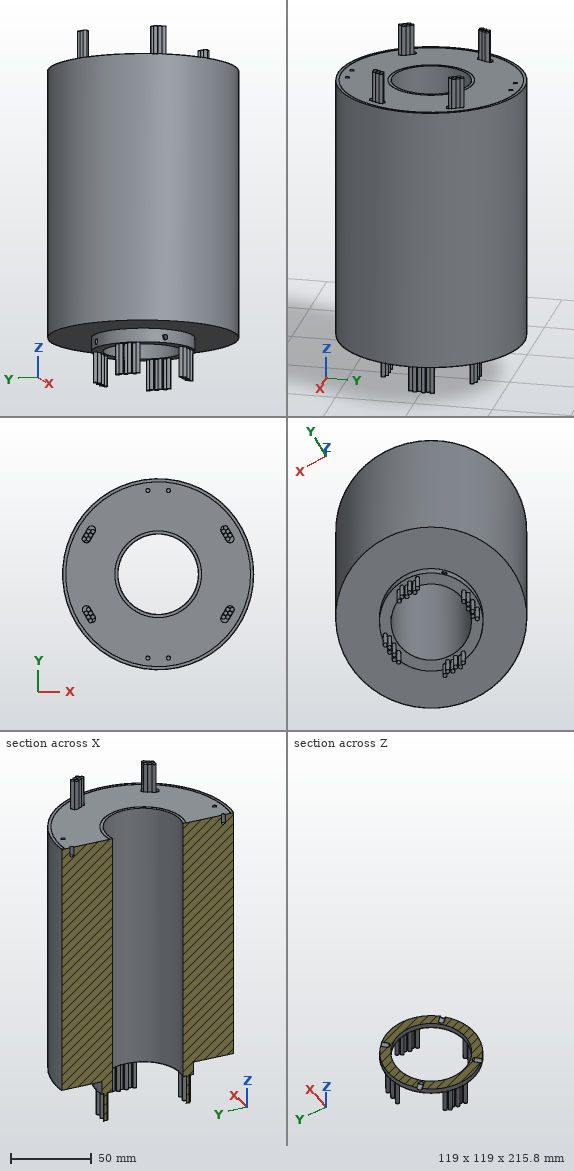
import cadquery as cq
import math

body_diameter = 119.0
body_length = 168.9
sleeve_thickness = 2.0
bore_diameter = 50.0
core_recess = 0.1

collar_diameter = 64.5
collar_height = 8.6
collar_hole_diameter = 3.3
collar_hole_height = 3.6
collar_hole_depth = 5.0
collar_hole_angles = (45, 135, 225, 315)

face_hole_diameter = 2.5
face_hole_depth = 6.0
face_hole_radius = 52.5
face_hole_half_angle = 7.0
drill_point_angle = 118.0

wire_length = 19.15
wire_diameter = 2.6

slot_angles = (30, 150, 210, 330)
slot_radius = 49.7
slot_length = 11.4
slot_width = 5.0
slot_depth = 2.0
wires_per_row = 3
upper_wire_pitch = 2.7

lower_row_angles = (0, 90, 180, 270)
lower_row_radius = 28.3
lower_row_count = 6
lower_wire_pitch = 2.8
lower_zigzag_width = 1.5

body_radius = body_diameter / 2
bore_radius = bore_diameter / 2
collar_radius = collar_diameter / 2
wire_radius = wire_diameter / 2
core_top = body_length - core_recess


def cylinder(radius, bottom, height, x=0.0, y=0.0):
    """Upright cylinder standing on the height `bottom`."""
    return cq.Workplane("XY", origin=(x, y, bottom)).circle(radius).extrude(height)


def drilled_hole(diameter, depth):
    """Cutter for a blind hole along -Z from the origin, ending in a drill point."""
    radius = diameter / 2
    tip_height = radius / math.tan(math.radians(drill_point_angle / 2))
    profile = [(0, 0), (radius, 0), (radius, -depth), (0, -depth - tip_height)]
    return cq.Workplane("XZ").polyline(profile).close().revolve(360, (0, 0), (0, 1))


def turn(shape, angle):
    """Turn a shape about the Z axis."""
    return shape.rotate((0, 0, 0), (0, 0, 1), angle)


def make_body():
    body = cylinder(body_radius, 0, body_length)
    body = body.union(cylinder(collar_radius, -collar_height, collar_height))
    core_face = (
        cq.Workplane("XY", origin=(0, 0, core_top))
        .circle(body_radius - sleeve_thickness)
        .circle(bore_radius + sleeve_thickness)
        .extrude(core_recess)
    )
    body = body.cut(core_face)
    return body.cut(cylinder(bore_radius, -collar_height, collar_height + body_length))


def cut_face_holes(body):
    cutter = drilled_hole(face_hole_diameter, face_hole_depth).translate((face_hole_radius, 0, core_top))
    for side_angle in (90, 270):
        for offset in (-face_hole_half_angle, face_hole_half_angle):
            body = body.cut(turn(cutter, side_angle + offset))
    return body


def cut_collar_holes(body):
    cutter = drilled_hole(collar_hole_diameter, collar_hole_depth).rotate((0, 0, 0), (0, 1, 0), 90)
    cutter = cutter.translate((collar_radius, 0, collar_hole_height - collar_height))
    for angle in collar_hole_angles:
        body = body.cut(turn(cutter, angle))
    return body


def make_slot():
    """Slot cutter on the +X axis, long side along Y."""
    slot = cq.Workplane("XY", origin=(slot_radius, 0, core_top - slot_depth))
    return slot.slot2D(slot_length, slot_width, 90).extrude(slot_depth)


def make_upper_wires():
    """Two staggered rows of wires on the +X axis, rising from the slot floor."""
    bottom = core_top - slot_depth
    height = body_length + wire_length - bottom
    row_offset = upper_wire_pitch * math.sqrt(3) / 4
    wires = cq.Workplane("XY")
    for index in range(wires_per_row):
        inner_y = (index - (wires_per_row - 1) / 2) * upper_wire_pitch
        outer_y = inner_y + upper_wire_pitch / 2
        for x, y in ((slot_radius - row_offset, inner_y), (slot_radius + row_offset, outer_y)):
            wires = wires.union(cylinder(wire_radius, bottom, height, x, y))
    return wires


def make_lower_wires():
    """Zigzag row of wires across the +X axis, hanging from the collar, first wire inside."""
    bottom = -collar_height - wire_length
    wires = cq.Workplane("XY")
    for index in range(lower_row_count):
        side = 1 if index % 2 else -1
        x = lower_row_radius + side * lower_zigzag_width / 2
        y = (index - (lower_row_count - 1) / 2) * lower_wire_pitch
        wires = wires.union(cylinder(wire_radius, bottom, wire_length, x, y))
    return wires


result = make_body()
result = cut_face_holes(result)
result = cut_collar_holes(result)
slot = make_slot()
upper_wires = make_upper_wires()
for angle in slot_angles:
    result = result.cut(turn(slot, angle)).union(turn(upper_wires, angle))
lower_wires = make_lower_wires()
for angle in lower_row_angles:
    result = result.union(turn(lower_wires, angle))